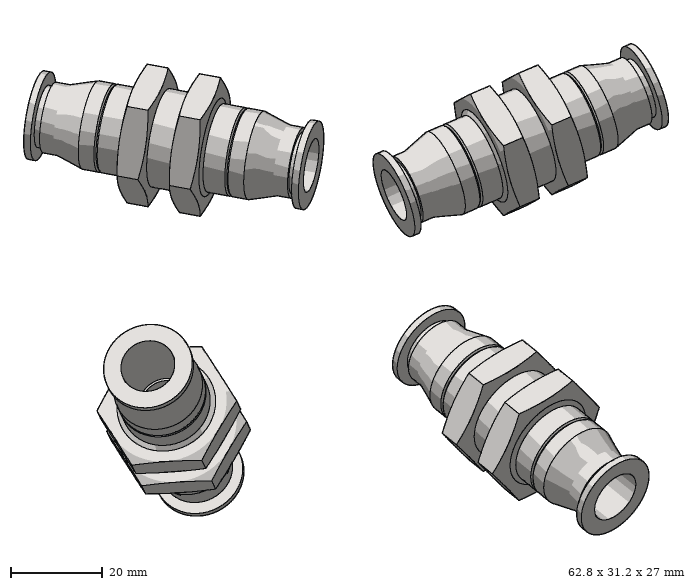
import cadquery as cq
import math

length = 62.8
half_length = length / 2

body_diameter = 19.8
neck_diameter = 13.9
collar_diameter = 15.8
groove_diameter = 19.0
thread_diameter = 22.0

flange_end = 1.6
neck_end = 3.1
collar_end = 6.3
cone_end = 12.5
groove_center = 16.45
thread_start = 21.8
groove_half_width = (body_diameter - groove_diameter) / 2
thread_chamfer_length = 0.6

nut_across_flats = 27.0
nut_across_corners = nut_across_flats / math.cos(math.pi / 6)
nut_outer_face = 22.4
nut_width = 6.0
nut_chamfer_depth = 0.6

socket_diameter = 12.0
passage_diameter = 11.0
socket_depth = 21.8


def make_half_body():
    """Revolve the stepped profile from the left end to the middle."""
    body_radius = body_diameter / 2
    neck_radius = neck_diameter / 2
    collar_radius = collar_diameter / 2
    thread_radius = thread_diameter / 2
    profile = [
        (0, 0),
        (0, body_radius),
        (flange_end, body_radius),
        (flange_end, neck_radius),
        (neck_end, neck_radius),
        (neck_end, collar_radius),
        (collar_end, collar_radius),
        (cone_end, body_radius),
        (groove_center - groove_half_width, body_radius),
        (groove_center, groove_diameter / 2),
        (groove_center + groove_half_width, body_radius),
        (thread_start, body_radius),
        (thread_start + thread_chamfer_length, thread_radius),
        (half_length, thread_radius),
        (half_length, 0),
    ]
    half = cq.Workplane("XY").polyline(profile).close().revolve(360, (0, 0, 0), (1, 0, 0))
    return half.translate((-half_length, 0, 0))


def make_nut():
    """Make the left nut, with corners along Y and conical chamfers on both faces."""
    hexagon = cq.Workplane("YZ").polygon(6, nut_across_corners).extrude(nut_width)
    corner_radius = nut_across_corners / 2
    flat_radius = nut_across_flats / 2
    profile = [
        (0, 0),
        (0, flat_radius),
        (nut_chamfer_depth, corner_radius),
        (nut_width - nut_chamfer_depth, corner_radius),
        (nut_width, flat_radius),
        (nut_width, 0),
    ]
    envelope = cq.Workplane("XY").polyline(profile).close().revolve(360, (0, 0, 0), (1, 0, 0))
    return hexagon.intersect(envelope).translate((nut_outer_face - half_length, 0, 0))


def make_bore():
    """Make the solid to remove: the passage plus a tube socket at each end."""
    passage = cq.Workplane("YZ", origin=(-half_length, 0, 0)).circle(passage_diameter / 2).extrude(length)
    socket = cq.Workplane("YZ", origin=(-half_length, 0, 0)).circle(socket_diameter / 2).extrude(socket_depth)
    return passage.union(socket).union(socket.mirror("YZ"))


left_half = make_half_body().union(make_nut())
result = left_half.union(left_half.mirror("YZ")).cut(make_bore())